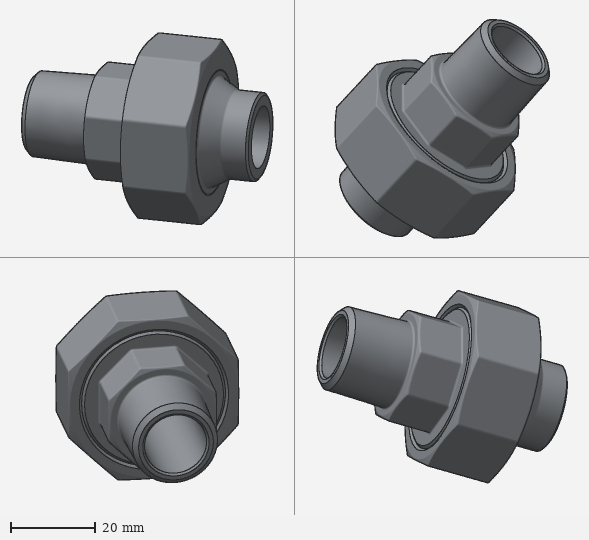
import cadquery as cq
import math

TOTAL_LENGTH = 56.5
BORE_DIA = 15.0
BORE_CHAMFER = 0.5
OCTAGON_SIDES = 8
OCTAGON_CORNER_RADIUS = 1.0
OCTAGON_CHAMFER_ANGLE = 20.0
SMALL_FILLET = 0.5
POSITION_TOLERANCE = 0.005

NUT_FLATS = 41.0
NUT_START = 27.9
NUT_LENGTH = 17.1
NUT_END = NUT_START + NUT_LENGTH
NUT_FACE_DIA = 40.35
NUT_EDGE_FILLET = 0.35
NUT_BORE_DIA = 34.7
NUT_MOUTH_DIA = 36.0
NUT_LIP_THICKNESS = 3.0
NUT_LIP_DIA = 30.0

THREAD_TIP_DIA = 18.0
THREAD_CHAMFER = 1.25
THREAD_END_DIA = 21.3
GRIP_START = 16.45
GRIP_FLATS = 26.0
GRIP_FACE_DIA = 25.05
GRIP_EDGE_FILLET = 0.5
COLLAR_FACE_DIA = 33.5
COLLAR_LENGTH = 7.0

NECK_DIA = 29.5
CONE_START_DIA = 26.9
CONE_ANGLE = 30.0
WELD_DIA = 21.3
WELD_CHAMFER_LENGTH = 0.5
WELD_CHAMFER_HEIGHT = 0.7

COLLAR_END = NUT_START + COLLAR_LENGTH
LIP_START = NUT_END - NUT_LIP_THICKNESS
CONE_LENGTH = (CONE_START_DIA - WELD_DIA) / 2 / math.tan(math.radians(CONE_ANGLE))
CONE_END = NUT_END + CONE_LENGTH


def cylinder(diameter, start, end):
    return cq.Workplane("YZ", origin=(start, 0, 0)).circle(diameter / 2).extrude(end - start)


def revolve_profile(points):
    """Turn a closed outline of (x, radius) points around the X axis."""
    return cq.Workplane("XY").polyline(points).close().revolve(360, (0, 0, 0), (1, 0, 0))


def step_edges(body, x, max_radius):
    """Edges lying in the plane at x, starting within max_radius of the X axis."""
    chosen = []
    for edge in body.edges().vals():
        start, middle = edge.startPoint(), edge.positionAt(0.5)
        in_plane = max(abs(start.x - x), abs(middle.x - x)) < POSITION_TOLERANCE
        if in_plane and math.hypot(start.y, start.z) < max_radius:
            chosen.append(edge)
    return body.newObject(chosen)


def octagon_prism(flats, start, end):
    """Octagonal bar with flats facing +-Y and +-Z and rounded long corners."""
    corner_dia = flats / math.cos(math.pi / OCTAGON_SIDES)
    bar = (
        cq.Workplane("YZ", origin=(start, 0, 0))
        .transformed(rotate=(0, 0, 180 / OCTAGON_SIDES))
        .polygon(OCTAGON_SIDES, corner_dia)
        .extrude(end - start)
    )
    return bar.edges("|X").fillet(OCTAGON_CORNER_RADIUS)


def chamfer_envelope(flats, face_dia, start, end, both_ends):
    """Turned blank whose conical ends cut the corners of an octagonal bar."""
    outer_radius = flats / 2 / math.cos(math.pi / OCTAGON_SIDES)
    face_radius = face_dia / 2
    slope_length = (outer_radius - face_radius) * math.tan(math.radians(OCTAGON_CHAMFER_ANGLE))
    points = [(start, 0), (start, face_radius), (start + slope_length, outer_radius)]
    if both_ends:
        points += [(end - slope_length, outer_radius), (end, face_radius)]
    else:
        points += [(end, outer_radius)]
    points += [(end, 0)]
    return revolve_profile(points)


def chamfered_octagon(flats, face_dia, edge_fillet, start, end, both_ends):
    """Octagonal bar with cone-chamfered corners; every rim of the cones is rounded."""
    bar = octagon_prism(flats, start, end)
    bar = bar.intersect(chamfer_envelope(flats, face_dia, start, end, both_ends))
    return bar.faces("%CONE").edges().fillet(edge_fillet)


def make_nut():
    """Octagonal union nut: countersunk mouth, wide cavity and an inward lip behind the tail's collar."""
    nut = chamfered_octagon(NUT_FLATS, NUT_FACE_DIA, NUT_EDGE_FILLET, NUT_START, NUT_END, both_ends=True)
    mouth_depth = (NUT_MOUTH_DIA - NUT_BORE_DIA) / 2
    cavity = revolve_profile([
        (NUT_START, 0),
        (NUT_START, NUT_MOUTH_DIA / 2),
        (NUT_START + mouth_depth, NUT_BORE_DIA / 2),
        (LIP_START, NUT_BORE_DIA / 2),
        (LIP_START, NUT_LIP_DIA / 2),
        (NUT_END, NUT_LIP_DIA / 2),
        (NUT_END, 0),
    ])
    return nut.cut(cavity)


def make_insert():
    """Insert with a tapered thread blank, an octagonal grip and a collar that fills the nut."""
    thread_radius = THREAD_TIP_DIA / 2 + THREAD_CHAMFER
    thread = revolve_profile([
        (0, 0),
        (0, THREAD_TIP_DIA / 2),
        (THREAD_CHAMFER, thread_radius),
        (GRIP_START, THREAD_END_DIA / 2),
        (GRIP_START, 0),
    ])
    octagon = chamfered_octagon(
        GRIP_FLATS, GRIP_FACE_DIA, GRIP_EDGE_FILLET, GRIP_START, NUT_START, both_ends=False
    )
    collar_chamfer = (NUT_BORE_DIA - COLLAR_FACE_DIA) / 2
    collar = cylinder(NUT_BORE_DIA, NUT_START, COLLAR_END).faces("<X").chamfer(collar_chamfer)
    body = thread.union(octagon)
    body = step_edges(body, GRIP_START, GRIP_FACE_DIA / 2 - SMALL_FILLET).fillet(SMALL_FILLET)
    body = body.union(collar)
    body = step_edges(body, NUT_START, COLLAR_FACE_DIA / 2 - SMALL_FILLET).fillet(SMALL_FILLET)
    body = body.cut(cylinder(BORE_DIA, 0, COLLAR_END))
    return step_edges(body, 0, THREAD_TIP_DIA / 2 - BORE_CHAMFER).chamfer(BORE_CHAMFER)


def make_tail():
    """Tail with a collar held by the nut's lip, a cone and a bevelled weld end."""
    tail = revolve_profile([
        (COLLAR_END, 0),
        (COLLAR_END, NUT_BORE_DIA / 2),
        (LIP_START, NUT_BORE_DIA / 2),
        (LIP_START, NECK_DIA / 2),
        (NUT_END, NECK_DIA / 2),
        (NUT_END, CONE_START_DIA / 2),
        (CONE_END, WELD_DIA / 2),
        (TOTAL_LENGTH - WELD_CHAMFER_LENGTH, WELD_DIA / 2),
        (TOTAL_LENGTH, WELD_DIA / 2 - WELD_CHAMFER_HEIGHT),
        (TOTAL_LENGTH, 0),
    ])
    tail = step_edges(tail, NUT_END, NECK_DIA / 2 - SMALL_FILLET).fillet(SMALL_FILLET)
    tail = step_edges(tail, CONE_END, NECK_DIA / 2).fillet(SMALL_FILLET)
    return tail.cut(cylinder(BORE_DIA, COLLAR_END, TOTAL_LENGTH))


nut = make_nut()
insert = make_insert()
tail = make_tail()
result = cq.Compound.makeCompound([nut.val(), insert.val(), tail.val()])